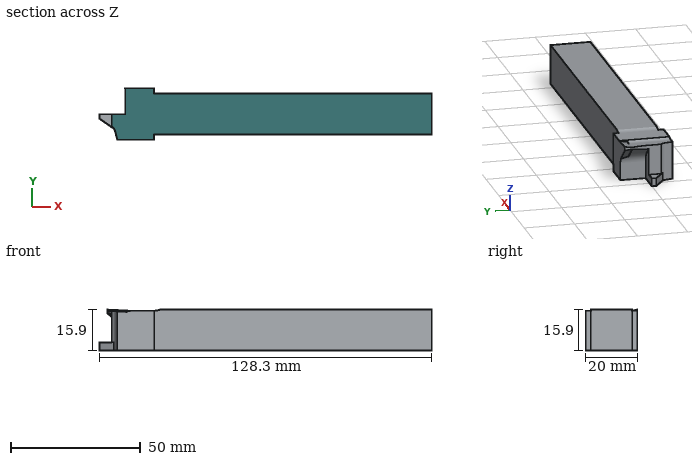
import cadquery as cq
import math


total_length = 128.3
shank_size = 15.88

head_width = 20.0
head_back_x = 21.2
head_top_z = 15.45
blend_radius = 7.0

side_relief_angle = math.radians(15)
tooth_relief_angle = math.radians(10)
nose_turn = math.radians(18)
nose_x = 4.72
tooth_tip_x = 3.15
tooth_crease_y = 6.9
nose_end_y = -4.85
hollow_end_y = -7.15
hollow_sagitta = 0.33
corner_x = 6.95

rake_angle = math.radians(3)
rake_end_x = 9.3
breaker_end_x = 12.0
tooth_back_x = 11.7
tooth_tilt = math.tan(math.radians(11))

pocket_side_y = 0.0
pocket_back_x = 10.0
pocket_arc_bottom_z = 7.0
pocket_arc_radius = 5.3
roof_angle = math.radians(38)
tooth_underside_angle = math.radians(40.5)

spur_height = 3.2
spur_tip_width = 1.75
spur_flank_end_x = 5.8
spur_angle = math.radians(35)

clearance = 2.0

half_width = head_width / 2
tooth_width = half_width - tooth_crease_y
tooth_rise = tooth_tilt * tooth_width
crease_x = tooth_tip_x + math.tan(tooth_relief_angle) * tooth_width
rake_start_z = shank_size - tooth_rise


def rake_z(x):
    return rake_start_z - math.tan(rake_angle) * (x - tooth_tip_x)


def make_shank():
    """Square bar whose top starts with a concave runout from the head height."""
    rise = shank_size - head_top_z
    run = math.sqrt(2 * blend_radius * rise - rise**2)
    return (
        cq.Workplane("XZ", origin=(0, shank_size / 2, 0))
        .moveTo(head_back_x, 0)
        .lineTo(total_length, 0)
        .lineTo(total_length, shank_size)
        .lineTo(head_back_x + run, shank_size)
        .radiusArc((head_back_x, head_top_z), blend_radius)
        .close()
        .extrude(shank_size)
    )


def make_head_blank():
    """Head outline as a prism up to the height of the tooth tip."""
    nose_radius = (nose_x - crease_x) / (1 - math.cos(nose_turn))
    nose_start_y = tooth_crease_y - nose_radius * math.sin(nose_turn)
    hollow_end_x = corner_x - math.tan(side_relief_angle) * (half_width + hollow_end_y)
    return (
        cq.Workplane("XY")
        .moveTo(head_back_x, half_width)
        .lineTo(tooth_tip_x, half_width)
        .lineTo(crease_x, tooth_crease_y)
        .radiusArc((nose_x, nose_start_y), nose_radius)
        .lineTo(nose_x, nose_end_y)
        .sagittaArc((hollow_end_x, hollow_end_y), hollow_sagitta)
        .lineTo(corner_x, -half_width)
        .lineTo(head_back_x, -half_width)
        .close()
        .extrude(shank_size)
    )


def tooth_wedge(crease_z, edge_z, flat_z, angle):
    """Prism on the tooth strip with one tilted face, swept back along +X and down."""
    section = cq.Wire.makePolygon(
        [
            cq.Vector(0, tooth_crease_y, crease_z),
            cq.Vector(0, half_width, edge_z),
            cq.Vector(0, half_width, flat_z),
            cq.Vector(0, tooth_crease_y, flat_z),
        ],
        close=True,
    )
    sweep = cq.Vector(tooth_back_x, 0, -tooth_back_x * math.tan(angle))
    return cq.Workplane(cq.Solid.extrudeLinear(section, [], sweep))


def make_top_cutter():
    """Stock above the rake face, chip breaker and head top, sparing the tilted tooth top."""
    above = shank_size + clearance
    cutter = (
        cq.Workplane("XZ", origin=(0, half_width, 0))
        .moveTo(0, above)
        .lineTo(0, rake_z(0))
        .lineTo(rake_end_x, rake_z(rake_end_x))
        .tangentArcPoint((breaker_end_x, head_top_z), relative=False)
        .lineTo(head_back_x, head_top_z)
        .lineTo(head_back_x, above)
        .close()
        .extrude(head_width)
    )
    crease_z = rake_z(0)
    edge_z = crease_z + tooth_rise
    below_tooth_top = tooth_wedge(crease_z, edge_z, crease_z - clearance, rake_angle)
    above_tooth_top = tooth_wedge(crease_z, edge_z, edge_z + clearance, rake_angle)
    return cutter.cut(below_tooth_top).union(above_tooth_top)


def make_pocket():
    """Chip pocket with a sloping, curved roof, sparing the tilted tooth underside."""
    turn = math.pi / 2 - roof_angle
    arc_center_x = pocket_back_x - pocket_arc_radius
    roof_x = arc_center_x + pocket_arc_radius * math.cos(turn)
    roof_z = pocket_arc_bottom_z + pocket_arc_radius * math.sin(turn)
    roof_start_z = roof_z + math.tan(roof_angle) * roof_x
    pocket = (
        cq.Workplane("XZ", origin=(0, half_width, 0))
        .moveTo(0, 0)
        .lineTo(0, roof_start_z)
        .lineTo(roof_x, roof_z)
        .radiusArc((pocket_back_x, pocket_arc_bottom_z), pocket_arc_radius)
        .lineTo(pocket_back_x, 0)
        .close()
        .extrude(half_width - pocket_side_y)
    )
    crease_z = roof_start_z + (math.tan(tooth_underside_angle) - math.tan(roof_angle)) * crease_x
    above_tooth_underside = tooth_wedge(
        crease_z, crease_z - tooth_rise, crease_z + clearance, tooth_underside_angle
    )
    return pocket.cut(above_tooth_underside)


def make_spur():
    """Low pointed spur in front of the nose, flush with the pocket side."""
    tip_y = pocket_side_y - spur_tip_width
    flank_end_y = tip_y - math.tan(spur_angle) * spur_flank_end_x
    return (
        cq.Workplane("XY")
        .moveTo(0, pocket_side_y)
        .lineTo(0, tip_y)
        .lineTo(spur_flank_end_x, flank_end_y)
        .lineTo(corner_x, flank_end_y)
        .lineTo(corner_x, pocket_side_y)
        .close()
        .extrude(spur_height)
    )


head = make_head_blank().cut(make_top_cutter()).cut(make_pocket())
result = head.union(make_shank()).union(make_spur())